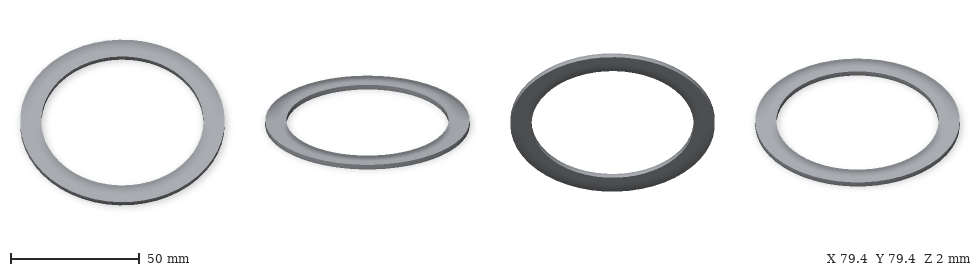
import cadquery as cq

outer_diameter = 79.4
inner_diameter = 63.0
thickness = 2.0

result = (
    cq.Workplane("XY")
    .circle(outer_diameter / 2)
    .circle(inner_diameter / 2)
    .extrude(thickness)
)